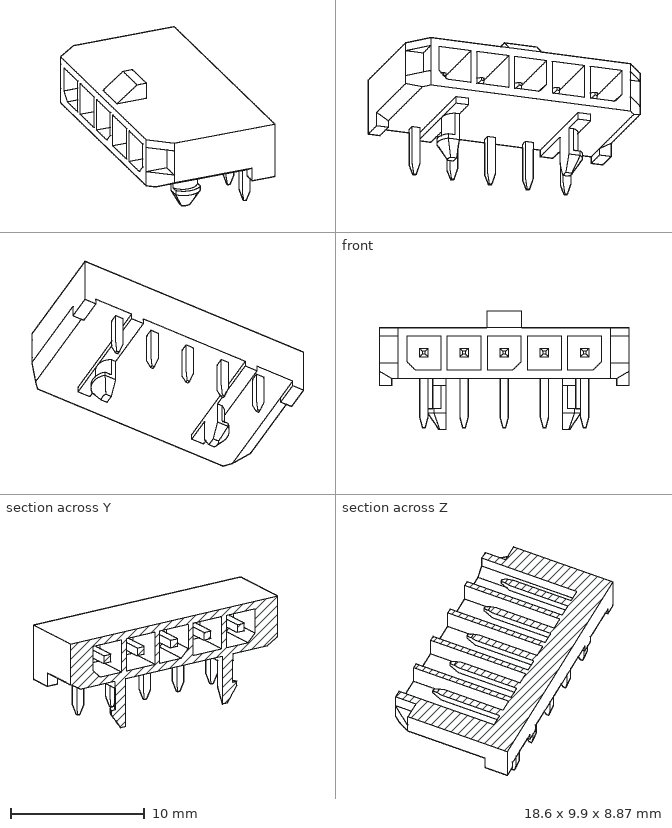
import cadquery as cq


length = 18.64
depth = 9.9
body_bottom = 0.52
body_top = 4.32
body_height = body_top - body_bottom
side_bevel_width = 0.93
side_bevel_height = 0.54

corner_width = 1.4
corner_depth = 1.68
recess_bottom = 1.7
recess_top = 3.7

circuits = 5
pitch = 3.0
cavity_size = 2.54
cavity_depth = 7.83
cavity_center_z = 2.42
key_cut = 0.63

pin_width = 0.63
pin_tip_width = 0.2
pin_taper = 0.8
contact_tip_y = 2.24
contact_z = 2.46
tail_y = 8.87
tail_end_z = -3.17

latch_width = 2.6
latch_front_y = 0.54
latch_crest_y = 2.18
latch_back_y = 2.95
latch_height = 1.25

post_width = side_bevel_width
post_front_y = 8.03
rail_front_y = 1.62

peg_inner_x = 4.35
peg_outer_x = 5.35
peg_flat_x = 4.72
barb_outer_x = 5.7
barb_flat_x = 5.24
peg_tip_outer_x = 4.9
peg_tip_flat_x = 4.8
peg_center_y = 4.6
peg_half_width = 1.0
peg_tip_half_width = 0.34
barb_top_z = -1.71
barb_bottom_z = -2.07
peg_end_z = -3.3


def box(x_start, x_end, y_start, y_end, z_start, z_end):
    """Axis-aligned box between two opposite corners."""
    size = (x_end - x_start, y_end - y_start, z_end - z_start)
    return cq.Workplane("XY").box(*size, centered=False).translate((x_start, y_start, z_start))


def add_both_sides(part, feature):
    """Add a feature and its mirror image across the middle of the row."""
    return part.union(feature).union(feature.mirror("YZ"))


def cut_both_sides(part, feature):
    """Cut a feature and its mirror image across the middle of the row."""
    return part.cut(feature).cut(feature.mirror("YZ"))


def make_housing():
    """Block with cut front corners, corner recesses and bevelled lower side edges."""
    side = length / 2
    front_side = side - corner_width
    outline = [
        (-side, depth),
        (-side, corner_depth),
        (-front_side, 0),
        (front_side, 0),
        (side, corner_depth),
        (side, depth),
    ]
    block = cq.Workplane("XY").workplane(offset=body_bottom).polyline(outline).close().extrude(body_height)
    recess = box(front_side, side, 0, corner_depth, recess_bottom, recess_top)
    bevel = (
        cq.Workplane("XZ")
        .moveTo(side - side_bevel_width, body_bottom)
        .lineTo(side, body_bottom)
        .lineTo(side, body_bottom + side_bevel_height)
        .close()
        .extrude(-post_front_y)
    )
    return cut_both_sides(cut_both_sides(block, recess), bevel)


def make_cavity(center_x, key_edges=None):
    """Square cavity open at the front; key_edges selects a lower edge to bevel."""
    half = cavity_size / 2
    cavity = box(-half, half, 0, cavity_depth, -half, half)
    if key_edges:
        cavity = cavity.edges(key_edges).chamfer(key_cut)
    return cavity.translate((center_x, 0, cavity_center_z))


def make_pin(pin_length):
    """Square pin along +Z from the origin, with a pyramid tip at the far end."""
    shank_length = pin_length - pin_taper
    shank = cq.Workplane("XY").rect(pin_width, pin_width).extrude(shank_length)
    tip = (
        cq.Workplane("XY")
        .workplane(offset=shank_length)
        .rect(pin_width, pin_width)
        .workplane(offset=pin_taper)
        .rect(pin_tip_width, pin_tip_width)
        .loft()
    )
    return shank.union(tip)


def make_contact(center_x):
    """L-shaped contact: one leg into the cavity, one leg down through the board."""
    mating_leg = make_pin(tail_y - contact_tip_y).rotate((0, 0, 0), (1, 0, 0), 90)
    tail_leg = make_pin(contact_z - tail_end_z).rotate((0, 0, 0), (1, 0, 0), 180)
    return mating_leg.union(tail_leg).translate((center_x, tail_y, contact_z))


def make_latch():
    """Wedge that rises from the front to a short flat crest."""
    profile = [
        (latch_front_y, body_top),
        (latch_crest_y, body_top + latch_height),
        (latch_back_y, body_top + latch_height),
        (latch_back_y, body_top),
    ]
    return cq.Workplane("YZ").polyline(profile).close().extrude(latch_width / 2, both=True)


def peg_section(plane, flat_x, outer_x, half_width):
    """Peg outline: straight front, back and inner sides, bulged outer side."""
    front_y = peg_center_y - half_width
    back_y = peg_center_y + half_width
    return (
        plane.moveTo(peg_inner_x, front_y)
        .lineTo(flat_x, front_y)
        .threePointArc((outer_x, peg_center_y), (flat_x, back_y))
        .lineTo(peg_inner_x, back_y)
        .close()
    )


def make_peg():
    """Board peg on the +X side, from its rail down to the tapered end."""
    shank_plane = cq.Workplane("XY")
    shank = peg_section(shank_plane, peg_flat_x, peg_outer_x, peg_half_width).extrude(barb_top_z)
    barb_plane = cq.Workplane("XY").workplane(offset=barb_top_z)
    barb = peg_section(barb_plane, barb_flat_x, barb_outer_x, peg_half_width).extrude(barb_bottom_z - barb_top_z)
    taper_plane = cq.Workplane("XY").workplane(offset=barb_bottom_z)
    taper_start = peg_section(taper_plane, barb_flat_x, barb_outer_x, peg_half_width)
    end_plane = taper_start.workplane(offset=peg_end_z - barb_bottom_z)
    taper = peg_section(end_plane, peg_tip_flat_x, peg_tip_outer_x, peg_tip_half_width).loft(ruled=True)
    return shank.union(barb).union(taper)


key_edges_by_circuit = {0: "|Y and <X and <Z", 2: "|Y and >X and <Z", 4: "|Y and >X and <Z"}
circuit_centers = [(i - (circuits - 1) / 2) * pitch for i in range(circuits)]

result = make_housing()
for circuit, center in enumerate(circuit_centers):
    result = result.cut(make_cavity(center, key_edges_by_circuit.get(circuit)))
for center in circuit_centers:
    result = result.union(make_contact(center))

result = result.union(make_latch())

post_outer_x = length / 2
post_top = body_bottom + side_bevel_height
post = box(post_outer_x - post_width, post_outer_x, post_front_y, depth, 0, post_top)
rail = box(peg_inner_x, peg_outer_x, rail_front_y, depth, 0, body_bottom)
for standoff in (post, rail, make_peg()):
    result = add_both_sides(result, standoff)